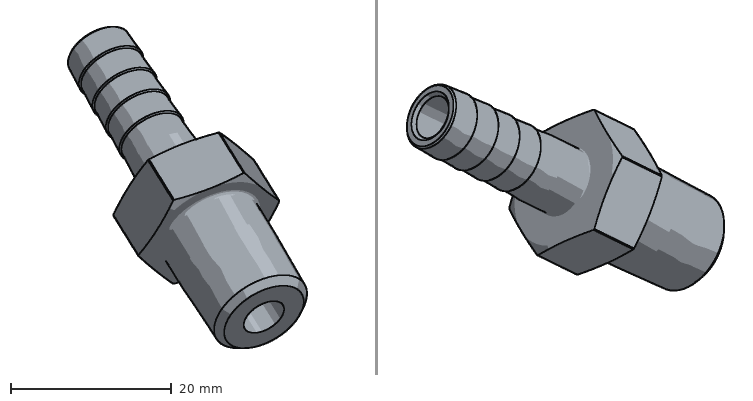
import cadquery as cq
import math

TOTAL_LENGTH = 47.0

HOSE_DIAMETER = 9.0
BARB_COUNT = 5
BARB_PITCH = 3.8
BARB_ROOT_DIAMETER = 8.55
BARB_BACK_LENGTH = 0.2
TIP_CHAMFER = 0.25
TAIL_FILLET = 0.2

HEX_START = 23.95
HEX_LENGTH = 7.8
HEX_ACROSS_FLATS = 17.0
HEX_TURNED_DIAMETER = 19.55
HEX_CHAMFER_ANGLE = 15.0

SHANK_DIAMETER = 13.4
SHANK_FILLET = 0.5
TAPER_START = 37.3
TAPER_END_DIAMETER = 12.92
LEAD_IN_CHAMFER = 0.95

BORE_DIAMETER = 5.6
BORE_MOUTH_DIAMETER = 6.5
BORE_MOUTH_DEPTH = (BORE_MOUTH_DIAMETER - BORE_DIAMETER) / 2

hex_end = HEX_START + HEX_LENGTH
hex_middle = HEX_START + HEX_LENGTH / 2


def revolve_about_x(half_profile):
    """Close a half profile in the XY plane and revolve it about the X axis."""
    return half_profile.close().revolve(360, (0, 0, 0), (1, 0, 0))


def make_hose_tail():
    """Saw-tooth barbs with steep sloping backs, then a plain neck with a fillet at the hexagon."""
    root = BARB_ROOT_DIAMETER / 2
    crest = HOSE_DIAMETER / 2
    profile = cq.Workplane("XY").lineTo(0, root - TIP_CHAMFER).lineTo(TIP_CHAMFER, root)
    for barb in range(1, BARB_COUNT):
        step = barb * BARB_PITCH
        profile = profile.lineTo(step, crest).lineTo(step + BARB_BACK_LENGTH, root)
    profile = (
        profile.lineTo(BARB_COUNT * BARB_PITCH, crest)
        .lineTo(HEX_START - TAIL_FILLET, crest)
        .radiusArc((HEX_START, crest + TAIL_FILLET), -TAIL_FILLET)
        .lineTo(hex_middle, crest + TAIL_FILLET)
        .lineTo(hex_middle, 0)
    )
    return revolve_about_x(profile)


def make_hexagon():
    """Hexagon with two corners on the Y axis, trimmed by a turned envelope chamfered at both ends."""
    across_corners = HEX_ACROSS_FLATS / math.cos(math.pi / 6)
    prism = cq.Workplane("YZ", origin=(HEX_START, 0, 0)).polygon(6, across_corners).extrude(HEX_LENGTH)
    face_radius = HEX_ACROSS_FLATS / 2
    turned_radius = HEX_TURNED_DIAMETER / 2
    chamfer_length = (turned_radius - face_radius) * math.tan(math.radians(HEX_CHAMFER_ANGLE))
    envelope = (
        cq.Workplane("XY")
        .moveTo(HEX_START, 0)
        .lineTo(HEX_START, face_radius)
        .lineTo(HEX_START + chamfer_length, turned_radius)
        .lineTo(hex_end - chamfer_length, turned_radius)
        .lineTo(hex_end, face_radius)
        .lineTo(hex_end, 0)
    )
    return prism.intersect(revolve_about_x(envelope))


def make_thread_body():
    """Plain thread body: fillet at the hexagon, straight shank, taper and lead-in chamfer."""
    shank = SHANK_DIAMETER / 2
    taper_end = TAPER_END_DIAMETER / 2
    profile = (
        cq.Workplane("XY")
        .moveTo(hex_middle, 0)
        .lineTo(hex_middle, shank + SHANK_FILLET)
        .lineTo(hex_end, shank + SHANK_FILLET)
        .radiusArc((hex_end + SHANK_FILLET, shank), -SHANK_FILLET)
        .lineTo(TAPER_START, shank)
        .lineTo(TOTAL_LENGTH - LEAD_IN_CHAMFER, taper_end)
        .lineTo(TOTAL_LENGTH, taper_end - LEAD_IN_CHAMFER)
        .lineTo(TOTAL_LENGTH, 0)
    )
    return revolve_about_x(profile)


def make_bore():
    """Through bore, opened out conically at the hose tip."""
    profile = (
        cq.Workplane("XY")
        .lineTo(0, BORE_MOUTH_DIAMETER / 2)
        .lineTo(BORE_MOUTH_DEPTH, BORE_DIAMETER / 2)
        .lineTo(TOTAL_LENGTH, BORE_DIAMETER / 2)
        .lineTo(TOTAL_LENGTH, 0)
    )
    return revolve_about_x(profile)


result = make_hose_tail().union(make_hexagon()).union(make_thread_body()).cut(make_bore())